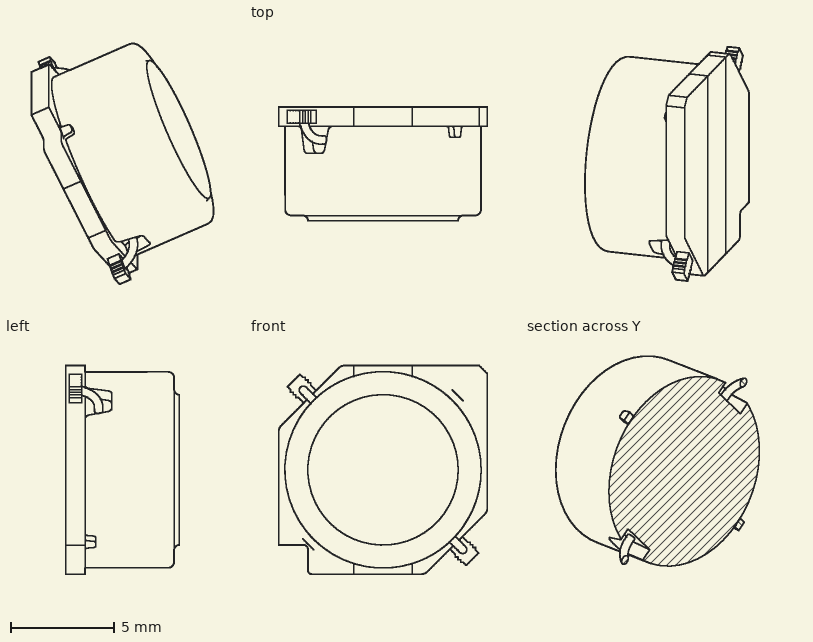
import cadquery as cq
import math


BASE_SIZE = 10.1
HALF_BASE = BASE_SIZE / 2
BASE_HEIGHT = 0.94
LEAD_CORNER_CUT = 3.03
LEAD_CORNER_RADIUS = 0.42
SMALL_CORNER_CUT = 0.4
INDEX_NOTCH = 1.41
INDEX_NOTCH_RADIUS = 0.2
STRIP_WIDTH = 2.83

TOTAL_HEIGHT = 5.5
BOSS_HEIGHT = 0.25
SHOULDER_HEIGHT = TOTAL_HEIGHT - BOSS_HEIGHT
HOUSING_RADIUS = 4.75
HOUSING_ROUND = 0.3
BOSS_RADIUS = 3.64

WINDOW_FLOOR_RADIUS = 4.04
WINDOW_ROOT_HALF = 0.95
WINDOW_TIP_HALF = 0.67
WINDOW_TIP_HEIGHT = 2.24
WINDOW_ROUND = 0.26

FOOT_OUTER_RADIUS = 5.1
FOOT_INNER_RADIUS = 4.55
FOOT_ROOT_HALF = 0.26
FOOT_TIP_HALF = 0.2
FOOT_TIP_HEIGHT = 1.46
FOOT_ROUND = 0.13

LEAD_FACE_RADIUS = (BASE_SIZE - LEAD_CORNER_CUT) / math.sqrt(2)
TAB_END_RADIUS = 6.11
TAB_HALF_WIDTH = 0.42
TAB_HEIGHT = 0.61
TAB_BOTTOM = 0.17
TAB_TOP = TAB_BOTTOM + TAB_HEIGHT
TOOTH_COUNT = 3
TOOTH_PITCH = 0.18
TOOTH_DEPTH = TOOTH_PITCH / 2
TEETH_START_RADIUS = 5.36

WIRE_RADIUS = 0.2
WIRE_HEIGHT = 1.6
WIRE_BEND_RADIUS = 1.11
WIRE_BEND_END = 4.3
WIRE_TILT = math.radians(30)

MINUS_X_PLUS_Z = 225
PLUS_X_MINUS_Z = 45
MINUS_X_MINUS_Z = 135
PLUS_X_PLUS_Z = -45


def turned(shape, angle):
    """Rotate a feature built along +X about the component axis."""
    return shape.rotate((0, 0, 0), (0, 1, 0), angle)


def disc(radius, bottom, top):
    """Round block on the component axis between two heights."""
    return cq.Workplane("XZ").workplane(offset=bottom).circle(radius).extrude(top - bottom)


def corner_edges(x, z):
    """Selector for the plate edge that runs along Y through (x, z)."""
    reach = 0.01
    return cq.selectors.BoxSelector(
        (x - reach, -BASE_HEIGHT, z - reach), (x + reach, 0, z + reach)
    )


def base_plate():
    """Full outline of the base, before it is divided into strip and terminals."""
    lead_corner = HALF_BASE - LEAD_CORNER_CUT
    small_corner = HALF_BASE - SMALL_CORNER_CUT
    notch = INDEX_NOTCH - HALF_BASE
    outline = [
        (-lead_corner, HALF_BASE),
        (small_corner, HALF_BASE),
        (HALF_BASE, small_corner),
        (HALF_BASE, -lead_corner),
        (lead_corner, -HALF_BASE),
        (notch, -HALF_BASE),
        (notch, notch),
        (-HALF_BASE, notch),
        (-HALF_BASE, lead_corner),
    ]
    plate = cq.Workplane("XZ").polyline(outline).close().extrude(BASE_HEIGHT)
    for x, z in [outline[0], outline[3], outline[4], outline[8]]:
        plate = plate.edges(corner_edges(x, z)).fillet(LEAD_CORNER_RADIUS)
    for x, z in [outline[5], outline[6]]:
        plate = plate.edges(corner_edges(x, z)).fillet(INDEX_NOTCH_RADIUS)
    return plate


def strip_region():
    """Block that bounds the core's share of the base plate."""
    return cq.Workplane("XZ").rect(STRIP_WIDTH, BASE_SIZE).extrude(BASE_HEIGHT)


def tongue(root_half, tip_half, tip_height, round_radius, inner, outer):
    """Tapered tongue rising from the base top, with a flared root and a rounded tip.

    It runs along +X from radius `inner` to `outer` and stands on a wider slab below the base top.
    """
    slab_half = root_half + 2 * round_radius
    slab_bottom = BASE_HEIGHT / 2
    half_profile = [
        (-slab_bottom, slab_half),
        (-BASE_HEIGHT, slab_half),
        (-BASE_HEIGHT, root_half),
        (-tip_height, tip_half),
    ]
    profile = half_profile + [(y, -z) for y, z in reversed(half_profile)]
    body = cq.Workplane("YZ").workplane(offset=inner).polyline(profile).close().extrude(outer - inner)
    margin = 0.01
    root_and_tip = cq.selectors.BoxSelector(
        (inner, -tip_height - margin, -root_half - margin),
        (outer, -BASE_HEIGHT + margin, root_half + margin),
    )
    return body.edges("|X").edges(root_and_tip).fillet(round_radius)


def wire(end_radius):
    """Lead from the tab top, bent inward to run radially and ending at `end_radius`."""
    turn = math.pi / 2 - WIRE_TILT
    centre_height = WIRE_HEIGHT - WIRE_BEND_RADIUS

    def on_bend(angle):
        return (
            WIRE_BEND_END + WIRE_BEND_RADIUS * math.sin(angle),
            -centre_height - WIRE_BEND_RADIUS * math.cos(angle),
        )

    bend_start = on_bend(turn)
    run_height = -bend_start[1] - TAB_BOTTOM
    run_start = (bend_start[0] + run_height * math.tan(WIRE_TILT), -TAB_BOTTOM)
    path = (
        cq.Workplane("XY")
        .moveTo(*run_start)
        .lineTo(*bend_start)
        .threePointArc(on_bend(turn / 2), on_bend(0))
        .lineTo(end_radius, -WIRE_HEIGHT)
    )
    section = cq.Plane(
        origin=(*run_start, 0),
        xDir=(0, 0, 1),
        normal=(-math.sin(WIRE_TILT), -math.cos(WIRE_TILT), 0),
    )
    lead = cq.Workplane(section).circle(WIRE_RADIUS).sweep(path)
    return lead.cut(disc(BASE_SIZE, -BASE_HEIGHT, TAB_TOP))


def tab():
    """Flat tab along +X with a row of triangular teeth on both sides."""
    half_outline = [(LEAD_FACE_RADIUS, TAB_HALF_WIDTH)]
    for index in range(TOOTH_COUNT):
        root = TEETH_START_RADIUS + index * TOOTH_PITCH
        half_outline.append((root, TAB_HALF_WIDTH))
        half_outline.append((root + TOOTH_PITCH / 2, TAB_HALF_WIDTH + TOOTH_DEPTH))
    half_outline.append((TEETH_START_RADIUS + TOOTH_COUNT * TOOTH_PITCH, TAB_HALF_WIDTH))
    half_outline.append((TAB_END_RADIUS, TAB_HALF_WIDTH))
    outline = half_outline + [(x, -z) for x, z in reversed(half_outline)]
    return cq.Workplane("XZ").workplane(offset=TAB_BOTTOM).polyline(outline).close().extrude(TAB_HEIGHT)


def foot():
    """Locating foot that rests against the housing wall."""
    body = tongue(FOOT_ROOT_HALF, FOOT_TIP_HALF, FOOT_TIP_HEIGHT, FOOT_ROUND,
                  FOOT_INNER_RADIUS, FOOT_OUTER_RADIUS)
    return body.cut(disc(HOUSING_RADIUS, BASE_HEIGHT, SHOULDER_HEIGHT))


def make_core():
    """Round housing with its end boss and lead windows, standing on the base strip."""
    housing = disc(HOUSING_RADIUS, BASE_HEIGHT, SHOULDER_HEIGHT).faces("<Y").edges().fillet(HOUSING_ROUND)
    boss_profile = (
        cq.Workplane("XY")
        .moveTo(0, -SHOULDER_HEIGHT)
        .lineTo(BOSS_RADIUS + BOSS_HEIGHT, -SHOULDER_HEIGHT)
        .radiusArc((BOSS_RADIUS, -TOTAL_HEIGHT), -BOSS_HEIGHT)
        .lineTo(0, -TOTAL_HEIGHT)
        .close()
    )
    housing = housing.union(boss_profile.revolve(360, (0, 0), (0, 1)))
    window = tongue(WINDOW_ROOT_HALF, WINDOW_TIP_HALF, WINDOW_TIP_HEIGHT, WINDOW_ROUND,
                    WINDOW_FLOOR_RADIUS, HALF_BASE)
    for angle in (MINUS_X_PLUS_Z, PLUS_X_MINUS_Z):
        housing = housing.cut(turned(window, angle))
    return housing.union(base_plate().intersect(strip_region()))


def make_terminal(side, tab_angle, foot_angle):
    """Outer share of the base on one side (-1 or +1 along X), with its tab and foot."""
    side_region = (
        cq.Workplane("XZ")
        .center(side * (STRIP_WIDTH + BASE_SIZE) / 2, 0)
        .rect(BASE_SIZE, BASE_SIZE)
        .extrude(BASE_HEIGHT)
    )
    share = base_plate().intersect(side_region)
    return share.union(turned(tab(), tab_angle)).union(turned(foot(), foot_angle))


core = make_core()
left_terminal = make_terminal(-1, MINUS_X_PLUS_Z, MINUS_X_MINUS_Z)
right_terminal = make_terminal(1, PLUS_X_MINUS_Z, PLUS_X_PLUS_Z)
wires = [turned(wire(WINDOW_FLOOR_RADIUS), angle) for angle in (MINUS_X_PLUS_Z, PLUS_X_MINUS_Z)]

bodies = [core, left_terminal, right_terminal, *wires]
result = cq.Compound.makeCompound([body.solids().val() for body in bodies])